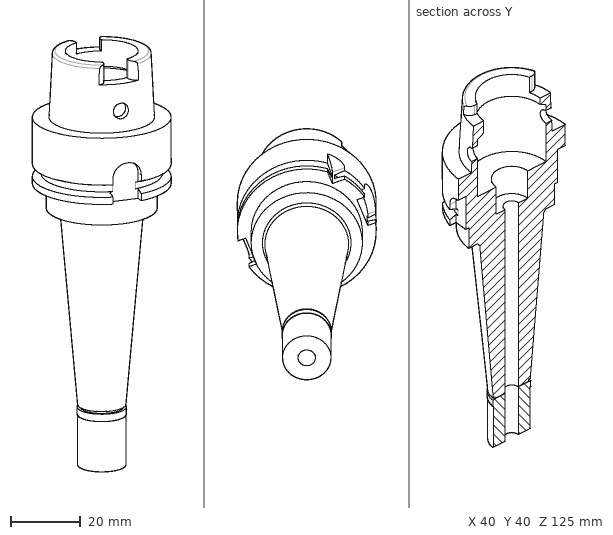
import cadquery as cq
import math

total_length = 125.0
flange_length = 20.0
shank_length = 20.0
face_z = total_length - shank_length
flange_bottom_z = face_z - flange_length
hub_length = 7.5
hub_bottom_z = flange_bottom_z - hub_length

shank_base_diameter = 30.4
shank_tip_diameter = 28.5
rim_radius = 0.8
bore_diameter = 21.0
bore_depth = 8.0
undercut_diameter = 25.5
undercut_cone_length = 1.2
undercut_floor_depth = 10.0
undercut_floor_z = face_z - undercut_floor_depth
thread_bore_diameter = 11.8
thread_bore_depth = 10.0
cross_hole_diameter = 4.6
cross_hole_z = 111.2

keyway_width = 7.8
keyway_corner_radius = 2.2
keyway_mouth_x = 13.0
deep_keyway_depth = 5.6
shallow_keyway_depth = 3.4

flange_diameter = 40.0
groove_center_z = 89.0
groove_mouth_width = 3.8
groove_floor_width = 2.0
groove_floor_diameter = 35.0

slot_width = 8.8
slot_top_z = 97.1
drive_slot_floor_x = 17.1
side_slot_floor_x = 12.4
side_slot_y = 16.1

hub_diameter = 32.0
collar_diameter = 25.5
collar_length = 0.9
neck_top_diameter = 24.1
spigot_diameter = 12.6
spigot_length = 0.8

nut_length = 17.5
nut_rim_length = 2.2
nut_rim_diameter = 14.2
nut_diameter = 14.0
neck_bottom_diameter = nut_diameter
through_hole_diameter = 5.0


def holder_blank():
    """Solid of revolution for the whole outside of the holder."""
    shank_tip = shank_tip_diameter / 2
    flange = flange_diameter / 2
    groove_floor = groove_floor_diameter / 2
    neck_bottom_z = nut_length + spigot_length
    rim_middle = rim_radius * math.sqrt(0.5)
    outline = (
        cq.Workplane("XZ")
        .moveTo(0, nut_length)
        .lineTo(spigot_diameter / 2, nut_length)
        .lineTo(spigot_diameter / 2, neck_bottom_z)
        .lineTo(neck_bottom_diameter / 2, neck_bottom_z)
        .lineTo(neck_top_diameter / 2, hub_bottom_z - collar_length)
        .lineTo(collar_diameter / 2, hub_bottom_z)
        .lineTo(hub_diameter / 2, hub_bottom_z)
        .lineTo(hub_diameter / 2, flange_bottom_z)
        .lineTo(flange, flange_bottom_z)
        .lineTo(flange, groove_center_z - groove_mouth_width / 2)
        .lineTo(groove_floor, groove_center_z - groove_floor_width / 2)
        .lineTo(groove_floor, groove_center_z + groove_floor_width / 2)
        .lineTo(flange, groove_center_z + groove_mouth_width / 2)
        .lineTo(flange, face_z)
        .lineTo(shank_base_diameter / 2, face_z)
        .lineTo(shank_tip, total_length - rim_radius)
        .threePointArc(
            (shank_tip - rim_radius + rim_middle, total_length - rim_radius + rim_middle),
            (shank_tip - rim_radius, total_length),
        )
        .lineTo(0, total_length)
        .close()
    )
    return outline.revolve(360, (0, 0, 0), (0, 1, 0))


def holder_bore():
    """Clamping bore with its undercut, then the thread bore and the through hole."""
    undercut_top_z = total_length - bore_depth
    thread_bore_bottom_z = undercut_floor_z - thread_bore_depth
    outline = (
        cq.Workplane("XZ")
        .moveTo(0, nut_length)
        .lineTo(through_hole_diameter / 2, nut_length)
        .lineTo(through_hole_diameter / 2, thread_bore_bottom_z)
        .lineTo(thread_bore_diameter / 2, thread_bore_bottom_z)
        .lineTo(thread_bore_diameter / 2, undercut_floor_z)
        .lineTo(undercut_diameter / 2, undercut_floor_z)
        .lineTo(undercut_diameter / 2, undercut_top_z - undercut_cone_length)
        .lineTo(bore_diameter / 2, undercut_top_z)
        .lineTo(bore_diameter / 2, total_length)
        .lineTo(0, total_length)
        .close()
    )
    return outline.revolve(360, (0, 0, 0), (0, 1, 0))


def keyway(side, depth):
    """Rim keyway on the +X (side = 1) or -X (side = -1) side, with its mouth corners rounded."""
    half_width = keyway_width / 2
    half_mouth = half_width + keyway_corner_radius
    corner_start_x = keyway_mouth_x - keyway_corner_radius
    arc_middle = keyway_corner_radius * math.sqrt(0.5)
    arc_x = corner_start_x + arc_middle
    arc_y = half_mouth - arc_middle
    return (
        cq.Workplane("XY", origin=(0, 0, total_length - depth))
        .moveTo(0, -half_width)
        .lineTo(side * corner_start_x, -half_width)
        .threePointArc((side * arc_x, -arc_y), (side * keyway_mouth_x, -half_mouth))
        .lineTo(side * flange_diameter / 2, -half_mouth)
        .lineTo(side * flange_diameter / 2, half_mouth)
        .lineTo(side * keyway_mouth_x, half_mouth)
        .threePointArc((side * arc_x, arc_y), (side * corner_start_x, half_width))
        .lineTo(0, half_width)
        .close()
        .extrude(depth)
    )


def cross_hole():
    """Hole along X through both walls of the shank."""
    return (
        cq.Workplane("YZ", origin=(0, 0, cross_hole_z))
        .circle(cross_hole_diameter / 2)
        .extrude(flange_diameter / 2, both=True)
    )


def flange_slot(side, floor_x, center_y):
    """Round-topped slot in the flange, open at the bottom, with a flat floor facing along X."""
    radius = slot_width / 2
    return (
        cq.Workplane("YZ", origin=(side * floor_x, 0, 0))
        .moveTo(center_y - radius, flange_bottom_z)
        .lineTo(center_y + radius, flange_bottom_z)
        .lineTo(center_y + radius, slot_top_z - radius)
        .threePointArc((center_y, slot_top_z), (center_y - radius, slot_top_z - radius))
        .close()
        .extrude(side * flange_diameter / 2)
    )


def make_holder():
    return (
        holder_blank()
        .cut(holder_bore())
        .cut(keyway(1, deep_keyway_depth))
        .cut(keyway(-1, shallow_keyway_depth))
        .cut(cross_hole())
        .cut(flange_slot(1, drive_slot_floor_x, 0))
        .cut(flange_slot(-1, drive_slot_floor_x, 0))
        .cut(flange_slot(-1, side_slot_floor_x, side_slot_y))
    )


def make_nut():
    """Nut against the end of the spigot, with a slightly larger rim at its top."""
    return (
        cq.Workplane("XY")
        .circle(nut_diameter / 2)
        .extrude(nut_length - nut_rim_length)
        .faces(">Z")
        .workplane()
        .circle(nut_rim_diameter / 2)
        .extrude(nut_rim_length)
        .faces(">Z")
        .workplane()
        .hole(through_hole_diameter)
    )


holder = make_holder()
nut = make_nut()

result = cq.Compound.makeCompound([holder.val(), nut.val()])